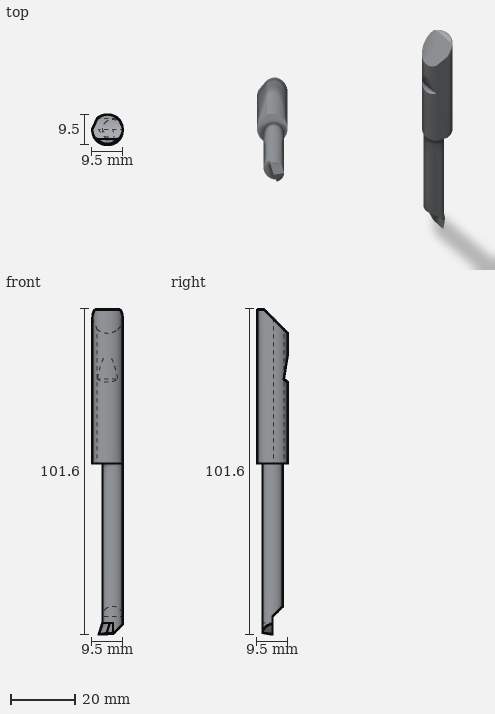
import cadquery as cq
import math

total_length = 101.6
shank_diameter = 9.5
shank_radius = shank_diameter / 2
shank_bottom = 53.3
end_chamfer = 0.4
bevel_top_y = -2.8
flat_angle = 155.0
flat_depth = 0.36
flat_distance = shank_radius - flat_depth

notch_top = 87.2
notch_root = 79.6
notch_bottom = 78.7
notch_depth = 1.2

neck_diameter = 6.4
neck_radius = neck_diameter / 2
neck_x = shank_radius - neck_radius
neck_bevel_top = 8.8

head_height = 3.7
head_right = 1.7
head_back_y = -3.1
head_left_top = neck_x - neck_radius
head_back_left = 0.7
head_lean = 1.1
corner_height = 0.2
bottom_relief = 0.4
margin = 10.2


def yz_cutter(points):
    """Prism along X with the given (y, z) outline, wider than the part."""
    return cq.Workplane("YZ").polyline(points).close().extrude(2 * margin, both=True)


def make_shank():
    length = total_length - shank_bottom
    shank = cq.Workplane("XY").workplane(offset=shank_bottom).circle(shank_radius).extrude(length)
    shank = shank.faces(">Z").chamfer(end_chamfer)

    flat_cutter = (
        cq.Workplane("XY")
        .box(margin, 2 * margin, total_length, centered=(False, True, False))
        .translate((flat_distance, 0, 0))
        .rotate((0, 0, 0), (0, 0, 1), flat_angle)
    )
    bevel = yz_cutter([
        (bevel_top_y, total_length),
        (bevel_top_y + margin, total_length - margin),
        (bevel_top_y + margin, total_length),
    ])
    notch = yz_cutter([
        (shank_radius, notch_top),
        (shank_radius - notch_depth, notch_root),
        (shank_radius, notch_bottom),
    ])
    return shank.cut(flat_cutter).cut(bevel).cut(notch)


def make_neck():
    neck = cq.Workplane("XY").center(neck_x, 0).circle(neck_radius).extrude(shank_bottom)
    rake_top = neck_bevel_top - neck_radius
    rake_relief = yz_cutter([
        (0, -margin),
        (0, rake_top),
        (margin, rake_top + margin),
        (margin, -margin),
    ])
    head_space = (
        cq.Workplane("XY")
        .box(margin, 2 * margin, head_height, centered=(False, True, False))
        .translate((head_right - margin, 0, 0))
    )
    return neck.cut(rake_relief).cut(head_space)


def head_section(lean):
    """Horizontal outline of the head, with its clearance face moved towards -X."""
    return [
        (head_left_top - lean, 0),
        (head_back_left - lean, head_back_y),
        (head_right, head_back_y),
        (head_right, 0),
    ]


def make_head():
    return (
        cq.Workplane("XY")
        .polyline(head_section(head_lean))
        .close()
        .workplane(offset=head_height)
        .polyline(head_section(0))
        .close()
        .loft(ruled=True)
    )


def trim_tip(body):
    """Bevel the +X side of the tip and slope its bottom behind the cutting edge."""
    side_bevel = (
        cq.Workplane("XZ")
        .polyline([
            (head_right, corner_height),
            (head_right + margin, corner_height + margin),
            (head_right + margin, -margin),
            (head_right, -margin),
        ])
        .close()
        .extrude(margin, both=True)
    )
    relief_slope = bottom_relief / neck_radius
    bottom = yz_cutter([(0, 0), (-margin, relief_slope * margin), (-margin, -margin), (0, -margin)])
    rise_angle = math.degrees(math.atan2(corner_height, head_right - head_left_top + head_lean))
    tip_x = head_left_top - head_lean
    bottom = bottom.rotate((tip_x, 0, 0), (tip_x, 1, 0), -rise_angle)
    return body.cut(side_bevel).cut(bottom)


tool_end = trim_tip(make_neck().union(make_head()))
result = make_shank().union(tool_end)